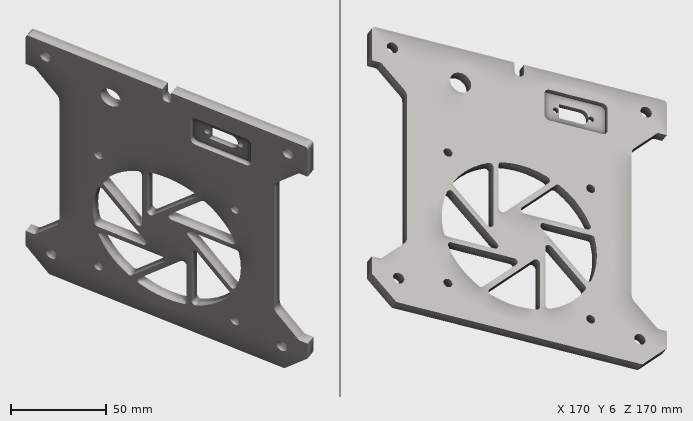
import cadquery as cq
import math

size = 170.0
half = size / 2
thickness = 6.0

waist_half_width = 64.8
top_tab_bottom = 63.4
bottom_tab_top = -60.0
recess_slope = 15.0
bottom_chamfer = 14.1
top_corner_radius = 2.0
waist_radius = 5.0
tab_radius = 2.0

notch_width = 5.5
notch_depth = 8.0

mount_hole_diameter = 6.5
top_mount_x = 73.1
top_mount_z = 74.6
bottom_mount_x = 69.5
bottom_mount_z = -69.5
cable_hole_diameter = 12.0
cable_hole_center = (-33.8, 63.5)

fan_z = -23.6
fan_radius = 44.7
fan_screw_spacing = 82.3
fan_screw_diameter = 5.1
spoke_count = 8
spoke_width = 3.0
spoke_offset = 13.5
window_radius = 2.0

connector_x = 32.6
connector_z = 63.5
pocket_width = 36.4
pocket_height = 19.4
pocket_depth = 3.0
pocket_radius = 3.0
opening_width = 17.0
opening_height = 8.8
opening_radius = 4.0
connector_screw_spacing = 20.4
connector_screw_diameter = 3.2


def full_depth(profile):
    """Extrude a front-face profile over the full plate thickness."""
    return profile.extrude(-thickness)


def holes(points, diameter):
    """Round through cutters at the given (X, Z) points."""
    return full_depth(cq.Workplane("XZ").pushPoints(points).circle(diameter / 2))


def round_edges(solid, points, radius):
    """Fillet the edges along Y at the given (X, Z) points and at their mirror images in X."""
    for x, z in points:
        for side in (-1, 1):
            edge = cq.selectors.NearestToPointSelector((side * x, thickness / 2, z))
            solid = solid.edges("|Y").edges(edge).fillet(radius)
    return solid


def plate():
    """Plate with side recesses, cut bottom corners and rounded top corners."""
    slope_x = waist_half_width + recess_slope
    upper_waist = top_tab_bottom - recess_slope
    lower_waist = bottom_tab_top + recess_slope
    right_side = [
        (half - bottom_chamfer, -half),
        (half, -half + bottom_chamfer),
        (half, bottom_tab_top),
        (slope_x, bottom_tab_top),
        (waist_half_width, lower_waist),
        (waist_half_width, upper_waist),
        (slope_x, top_tab_bottom),
        (half, top_tab_bottom),
        (half, half),
    ]
    left_side = [(-x, z) for x, z in reversed(right_side)]
    body = full_depth(cq.Workplane("XZ").polyline(right_side + left_side).close())
    body = round_edges(body, [(half, half)], top_corner_radius)
    waist_corners = [(waist_half_width, lower_waist), (waist_half_width, upper_waist)]
    body = round_edges(body, waist_corners, waist_radius)
    tab_corners = [(slope_x, bottom_tab_top), (slope_x, top_tab_bottom)]
    return round_edges(body, tab_corners, tab_radius)


def notch():
    """Slot open at the top edge, with a half-round bottom."""
    end_z = half - notch_depth + notch_width / 2
    profile = (
        cq.Workplane("XZ")
        .moveTo(-notch_width / 2, half)
        .lineTo(-notch_width / 2, end_z)
        .threePointArc((0, half - notch_depth), (notch_width / 2, end_z))
        .lineTo(notch_width / 2, half)
        .close()
    )
    return full_depth(profile)


def fan_window():
    """Opening between the upright spoke and the next spoke clockwise, centred on the fan axis."""
    near = spoke_offset - spoke_width / 2
    far = spoke_offset + spoke_width / 2
    inner_z = far * math.sqrt(2) - near
    reach = 2 * fan_radius
    wedge = [
        (-near, inner_z),
        (-near, inner_z + reach),
        (-near + reach, inner_z + reach),
    ]
    sector = full_depth(cq.Workplane("XZ").polyline(wedge).close())
    disc = full_depth(cq.Workplane("XZ").circle(fan_radius))
    return sector.intersect(disc).edges("|Y").fillet(window_radius)


def connector_pocket():
    """Shallow rounded recess in the front face."""
    profile = cq.Workplane("XZ").center(connector_x, connector_z).rect(pocket_width, pocket_height)
    return profile.extrude(-pocket_depth).edges("|Y").fillet(pocket_radius)


def connector_opening():
    """Connector cutout, square on the left and rounded on the right."""
    profile = cq.Workplane("XZ").center(connector_x, connector_z).rect(opening_width, opening_height)
    return full_depth(profile).edges("|Y and >X").fillet(opening_radius)


result = plate().cut(notch())

mounts = [(side * top_mount_x, top_mount_z) for side in (-1, 1)]
mounts += [(side * bottom_mount_x, bottom_mount_z) for side in (-1, 1)]
result = result.cut(holes(mounts, mount_hole_diameter))
result = result.cut(holes([cable_hole_center], cable_hole_diameter))

fan_screw_reach = fan_screw_spacing / 2
fan_screws = [
    (x, fan_z + z)
    for x in (-fan_screw_reach, fan_screw_reach)
    for z in (-fan_screw_reach, fan_screw_reach)
]
result = result.cut(holes(fan_screws, fan_screw_diameter))
window = fan_window()
for index in range(spoke_count):
    turned = window.rotate((0, 0, 0), (0, 1, 0), index * 360 / spoke_count)
    result = result.cut(turned.translate((0, 0, fan_z)))

result = result.cut(connector_pocket())
result = result.cut(connector_opening())
connector_screws = [
    (connector_x + side * connector_screw_spacing / 2, connector_z) for side in (-1, 1)
]
result = result.cut(holes(connector_screws, connector_screw_diameter))